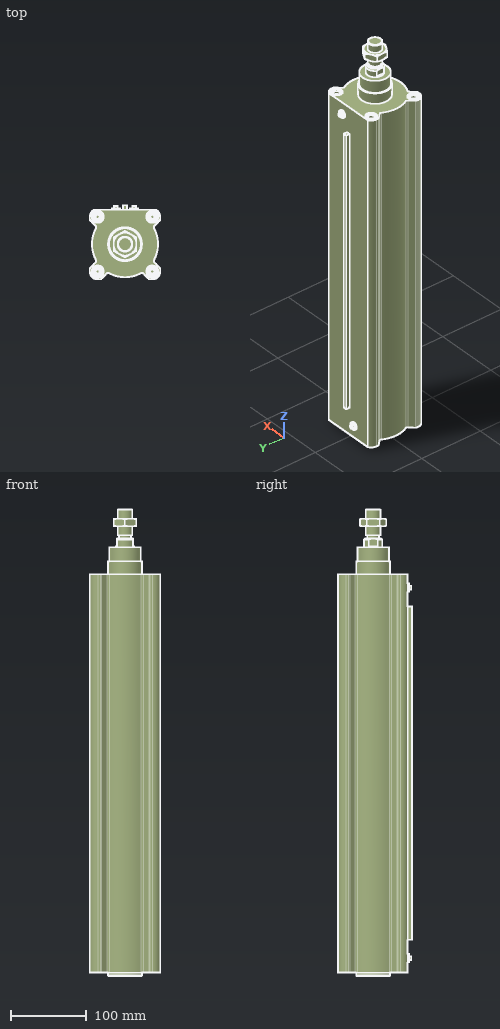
import cadquery as cq
import math

body_bottom = 5.0
body_top = 532.0
collar_step = 548.5
collar_top = 567.5
rod_top = 617.5

overall_width = 93.0
overall_depth = 98.0
barrel_dia = 88.0
post_pitch = 72.0
post_flat = 4.5
ridge_fillet = 2.5
back_face = 46.0
valley_fillet = 2.5

collar_dia = 45.0
upper_collar_dia = 42.0
spigot_chamfer = 1.0

screw_seat_dia = 16.0
screw_head_dia = 15.0
screw_countersink_dia = 12.0
screw_socket_dia = 8.5
screw_core_dia = 5.4
screw_seat_depth = 2.0
screw_socket_depth = 6.0
screw_core_depth = 12.5

rail_width = 5.4
rail_bottom = 48.0
rail_top = 489.0
adjuster_spread = 24.0
adjuster_base_dia = 11.0
adjuster_base_face = 47.5
adjuster_tip_dia = 5.4
adjuster_tip_face = 50.5
upper_adjuster_z = 514.0
lower_adjuster_z = 24.0

rod_dia = 25.0
rod_shoulder = 577.5
shoulder_chamfer_height = 2.0
shoulder_chamfer_dia = 20.0
flat_bottom = 569.0
flat_width = 21.5
relief_dia = 16.0
relief_top = 583.0
thread_dia = 20.0
thread_end_chamfer = 0.9

nut_across_flats = 30.0
nut_bottom = 595.0
nut_height = 10.5
nut_chamfer_height = 1.0

half_width = overall_width / 2
rail_face = overall_depth - half_width
post_centre = post_pitch / 2
corner_signs = [(-1, -1), (1, -1), (1, 1), (-1, 1)]
body_height = body_top - body_bottom
shoulder_top = rod_shoulder + shoulder_chamfer_height

match_tolerance = 0.05


def post_column(x_side, y_side):
    """Corner post: a round outer corner and two 45 degree slopes down into the barrel."""
    inner = post_centre - post_flat
    slope_run = half_width / 2
    foot_near = inner - slope_run
    foot_far = half_width - slope_run
    radius = half_width - post_centre
    arc_mid = post_centre + radius * math.sqrt(0.5)

    def place(x, y):
        """Mirror a point of the +X +Y post into this post's corner."""
        return (x_side * x, y_side * y)

    column = (
        cq.Workplane("XY", origin=(0, 0, body_bottom))
        .moveTo(*place(inner, half_width))
        .lineTo(*place(post_centre, half_width))
        .threePointArc(place(arc_mid, arc_mid), place(half_width, post_centre))
        .lineTo(*place(half_width, inner))
        .lineTo(*place(foot_far, foot_near))
        .lineTo(*place(foot_near, foot_far))
        .close()
        .extrude(body_height)
    )

    def is_ridge(edge):
        """True for an upright edge between a post flat and its slope."""
        middle = edge.Center()
        reach = sorted((abs(middle.x), abs(middle.y)))
        return abs(reach[0] - inner) < match_tolerance and abs(reach[1] - half_width) < match_tolerance

    return column.edges("|Z").filter(is_ridge).fillet(ridge_fillet)


def disc(diameter, bottom, top):
    """Round disc on the Z axis between two levels."""
    return cq.Workplane("XY", origin=(0, 0, bottom)).circle(diameter / 2).extrude(top - bottom)


def is_valley(edge):
    """True for an upright edge where a post slope runs into the barrel."""
    middle = edge.Center()
    on_barrel = abs(math.hypot(middle.x, middle.y) - barrel_dia / 2) < match_tolerance
    off_axes = min(abs(middle.x), abs(middle.y)) > half_width - post_centre
    return on_barrel and off_axes


def make_extrusion():
    """Barrel with four corner posts, filled out to a flat back face."""
    body = disc(barrel_dia, body_bottom, body_top)
    for x_side, y_side in corner_signs:
        body = body.union(post_column(x_side, y_side))
    back_fill = (
        cq.Workplane("XY", origin=(0, post_centre, body_bottom))
        .rect(2 * post_centre, half_width - post_centre, centered=(True, False))
        .extrude(body_height)
    )
    behind_back_face = (
        cq.Workplane("XY", origin=(0, back_face, body_bottom))
        .rect(overall_width, half_width, centered=(True, False))
        .extrude(body_height)
    )
    body = body.union(back_fill).cut(behind_back_face)
    return body.edges("|Z").filter(is_valley).fillet(valley_fillet)


def make_collars():
    """Stepped collar on the top face and spigot under the bottom face."""
    lower = disc(collar_dia, body_top, collar_step)
    upper = disc(upper_collar_dia, collar_step, collar_top)
    spigot = disc(collar_dia, 0, body_bottom).faces("<Z").chamfer(spigot_chamfer)
    return lower.union(upper).union(spigot)


def make_screw_recess(x, y):
    """Ring gap around a screw head, with the stepped socket in the head."""
    def round_space(diameter, depth):
        return disc(diameter, body_top - depth, body_top).translate((x, y, 0))

    ring = round_space(screw_seat_dia, screw_seat_depth).cut(round_space(screw_head_dia, screw_seat_depth))
    socket = round_space(screw_socket_dia, screw_socket_depth)
    countersink_depth = (screw_countersink_dia - screw_socket_dia) / 2
    countersink = cq.Workplane(cq.Solid.makeCone(
        screw_socket_dia / 2,
        screw_countersink_dia / 2,
        countersink_depth,
        cq.Vector(x, y, body_top - countersink_depth),
    ))
    core = round_space(screw_core_dia, screw_core_depth)
    return ring.union(countersink).union(socket).union(core)


def make_rail():
    """Narrow rail standing on the back face."""
    return (
        cq.Workplane("XY", origin=(0, post_centre, rail_bottom))
        .rect(rail_width, rail_face - post_centre, centered=(True, False))
        .extrude(rail_top - rail_bottom)
    )


def make_adjuster(x, z):
    """Stepped round head of an adjusting screw on the back face."""
    def back_button(diameter, face):
        return (
            cq.Workplane("XZ", origin=(x, post_centre, z))
            .circle(diameter / 2)
            .extrude(post_centre - face)
        )

    base = back_button(adjuster_base_dia, adjuster_base_face)
    return base.union(back_button(adjuster_tip_dia, adjuster_tip_face))


def make_housing():
    """Extruded body with collars, screws, rail and adjusters, bored for the rod."""
    housing = make_extrusion().union(make_collars()).union(make_rail())
    housing = housing.union(make_adjuster(adjuster_spread / 2, upper_adjuster_z))
    housing = housing.union(make_adjuster(-adjuster_spread / 2, lower_adjuster_z))
    for x_side, y_side in corner_signs:
        housing = housing.cut(make_screw_recess(x_side * post_centre, y_side * post_centre))
    return housing.cut(disc(rod_dia, body_top, collar_top))


def make_piston_rod():
    """Turned rod with two wrench flats, a thread relief and a threaded end."""
    profile = [
        (0, body_top),
        (rod_dia / 2, body_top),
        (rod_dia / 2, rod_shoulder),
        (shoulder_chamfer_dia / 2, shoulder_top),
        (relief_dia / 2, shoulder_top),
        (relief_dia / 2, relief_top),
        (thread_dia / 2, relief_top),
        (thread_dia / 2, rod_top - thread_end_chamfer),
        (thread_dia / 2 - thread_end_chamfer, rod_top),
        (0, rod_top),
    ]
    rod = cq.Workplane("XZ").polyline(profile).close().revolve(360, (0, 0), (0, 1))
    for side in (-1, 1):
        beyond_flat = (
            cq.Workplane("XY", origin=(side * (flat_width + rod_dia) / 2, 0, flat_bottom))
            .rect(rod_dia, rod_dia)
            .extrude(shoulder_top - flat_bottom)
        )
        rod = rod.cut(beyond_flat)
    return rod


def make_lock_nut():
    """Hexagon nut on the thread, flats facing X, rounded off at both ends."""
    across_corners = nut_across_flats / math.cos(math.radians(30))
    nut_top = nut_bottom + nut_height
    hexagon = (
        cq.Workplane("XY", origin=(0, 0, nut_bottom))
        .polygon(6, across_corners)
        .extrude(nut_height)
        .rotate((0, 0, 0), (0, 0, 1), 30)
    )
    turned_blank = disc(across_corners, nut_bottom, nut_top).faces("<Z or >Z").chamfer(
        nut_chamfer_height, (across_corners - nut_across_flats) / 2)
    return hexagon.intersect(turned_blank).cut(disc(thread_dia, nut_bottom, nut_top))


housing = make_housing()
piston_rod = make_piston_rod()
lock_nut = make_lock_nut()

result = cq.Compound.makeCompound([housing.val(), piston_rod.val(), lock_nut.val()])